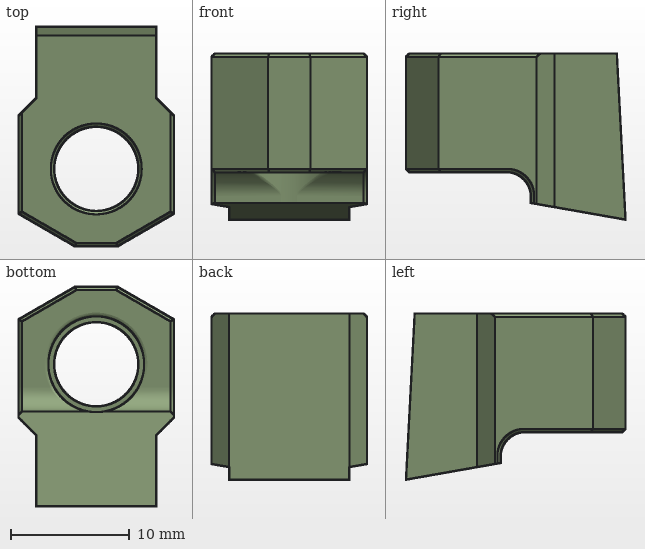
import cadquery as cq
import math

height = 14.0
half_width = 6.55
length = 18.5
back_draft = 3.0
bottom_slope = 10.0

half_nose = 1.78
nose_angle = 30.0
half_tang = 5.05
shoulder_y = 11.0

underside_z = 4.0
wall_y = 10.5
step_radius = 2.0

bore_y = 6.53
bore_radius = 3.53
relief_radius = 4.03
relief_depth = 2.0
relief_round = 0.3

chamfer = 0.3
tolerance = 0.002

nose_y = (half_width - half_nose) * math.tan(math.radians(nose_angle))
tang_y = shoulder_y + half_width - half_tang
top_back_y = length - height * math.tan(math.radians(back_draft))
wall_foot_z = (length - wall_y) * math.tan(math.radians(bottom_slope))


def make_body():
    """Plan outline intersected with the stepped side profile."""
    right_side = [
        (half_nose, 0),
        (half_width, nose_y),
        (half_width, shoulder_y),
        (half_tang, tang_y),
        (half_tang, length),
    ]
    left_side = [(-x, y) for x, y in reversed(right_side)]
    plan = cq.Workplane("XY").polyline(right_side + left_side).close().extrude(height)

    arc_offset = step_radius * (1 - math.sqrt(0.5))
    profile = (
        cq.Workplane("YZ")
        .moveTo(length, 0)
        .lineTo(top_back_y, height)
        .lineTo(0, height)
        .lineTo(0, underside_z)
        .lineTo(wall_y - step_radius, underside_z)
        .threePointArc(
            (wall_y - arc_offset, underside_z - arc_offset),
            (wall_y, underside_z - step_radius),
        )
        .lineTo(wall_y, wall_foot_z)
        .close()
        .extrude(half_width, both=True)
    )
    return plan.intersect(profile)


def chamfer_rims(body):
    """Bevel the front and side rims, following the step down its wall."""
    def on_rim(edge):
        box = edge.BoundingBox()
        at_top = box.zmin > height - tolerance
        below = box.zmax < underside_z + tolerance
        before_shoulder = box.ymax < shoulder_y - tolerance
        on_front = box.ymax < nose_y + tolerance
        on_side = box.xmax - box.xmin < tolerance
        top_rim = at_top and box.ymax < shoulder_y + tolerance
        lower_rim = below and before_shoulder
        return (top_rim or lower_rim) and (on_front or on_side)

    rims = [edge for edge in body.edges().vals() if on_rim(edge)]
    return body.newObject(rims).chamfer(chamfer)


def cut_bore(body):
    """Through bore, bevelled at the top and relieved at the rounded lower mouth."""
    relief_top = underside_z + relief_depth
    relief = cq.Workplane("XY").center(0, bore_y).circle(relief_radius).extrude(relief_top)
    body = body.cut(relief)

    def on_mouth(edge):
        on_circle = all(
            abs(math.hypot(point.x, point.y - bore_y) - relief_radius) < tolerance
            for point in (edge.startPoint(), edge.positionAt(0.5), edge.endPoint())
        )
        box = edge.BoundingBox()
        above_heel = box.zmax > wall_foot_z + tolerance
        return on_circle and above_heel and box.zmax < underside_z + tolerance

    mouth = [edge for edge in body.edges().vals() if on_mouth(edge)]
    body = body.newObject(mouth).fillet(relief_round)

    bore = cq.Workplane("XY").center(0, bore_y).circle(bore_radius).extrude(height)
    bevel = (
        cq.Workplane("XY", origin=(0, bore_y, height - chamfer))
        .circle(bore_radius)
        .workplane(offset=chamfer)
        .circle(bore_radius + chamfer)
        .loft()
    )
    return body.cut(bore).cut(bevel)


result = cut_bore(chamfer_rims(make_body()))